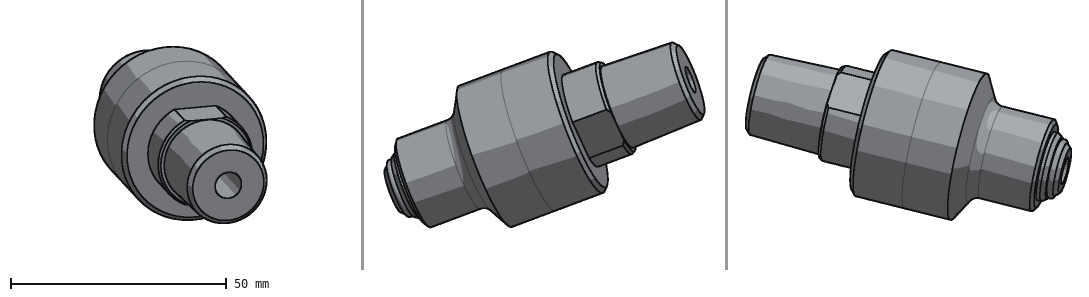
import cadquery as cq
import math

total_length = 74.7
bore_diameter = 6.35

nose_tip_radius = 5.4
ring_base_diameter = 12.7
ring_section_radius = 0.75
ring_start = 1.05
shoulder_radius = 7.4
land_start = 3.65
land_radius = 16.4 / 2

neck_start = 4.55
neck_radius = 22.0 / 2
neck_chamfer_length = 0.75
neck_chamfer_height = 1.05

body_radius = 35.0 / 2
body_joint = 34.3
body_end = 47.1
body_chamfer = 1.05
front_cone_end = 23.2
front_cone_angle = math.radians(60)
neck_fillet_radius = 3.0

boss_radius = 11.4
boss_end = 56.4
boss_chamfer_length = 0.75
boss_chamfer_height = 0.45
across_flats = 20.5

spigot_start_radius = 10.15
spigot_chamfer = 1.05
spigot_taper = 1 / 16


def make_front():
    """Nose, rounded ring, neck and front half of the body."""
    ring_base_radius = ring_base_diameter / 2
    ring_end = ring_start + 2 * ring_section_radius
    ring_crest = (ring_start + ring_section_radius, ring_base_radius + ring_section_radius)

    fillet_length = neck_fillet_radius * math.sin(front_cone_angle)
    fillet_height = neck_fillet_radius * (1 - math.cos(front_cone_angle))
    cone_start_radius = neck_radius + fillet_height
    cone_length = (body_radius - cone_start_radius) / math.tan(front_cone_angle)
    cone_start = front_cone_end - cone_length
    fillet_start = cone_start - fillet_length
    half_angle = front_cone_angle / 2
    fillet_middle = (
        fillet_start + neck_fillet_radius * math.sin(half_angle),
        neck_radius + neck_fillet_radius * (1 - math.cos(half_angle)),
    )

    profile = (
        cq.Workplane("XY")
        .moveTo(0, 0)
        .lineTo(0, nose_tip_radius)
        .lineTo(ring_start, ring_base_radius)
        .threePointArc(ring_crest, (ring_end, ring_base_radius))
        .lineTo(ring_end, shoulder_radius)
        .lineTo(land_start, land_radius)
        .lineTo(neck_start, land_radius)
        .lineTo(neck_start, neck_radius - neck_chamfer_height)
        .lineTo(neck_start + neck_chamfer_length, neck_radius)
        .lineTo(fillet_start, neck_radius)
        .threePointArc(fillet_middle, (cone_start, cone_start_radius))
        .lineTo(front_cone_end, body_radius)
        .lineTo(body_joint, body_radius)
        .lineTo(body_joint, 0)
        .close()
    )
    return profile.revolve(360, (0, 0, 0), (1, 0, 0))


def make_rear_body():
    """Rear half of the body, chamfered at its far end."""
    return (
        cq.Workplane("YZ", origin=(body_joint, 0, 0))
        .circle(body_radius)
        .extrude(body_end - body_joint)
        .faces(">X")
        .chamfer(body_chamfer)
    )


def make_boss():
    """Chamfered round boss with two wrench flats facing +Z and -Z."""
    profile = (
        cq.Workplane("XY")
        .moveTo(body_joint, 0)
        .lineTo(body_joint, boss_radius)
        .lineTo(boss_end - boss_chamfer_length, boss_radius)
        .lineTo(boss_end, boss_radius - boss_chamfer_height)
        .lineTo(boss_end, 0)
        .close()
    )
    flats = cq.Workplane("XY").box(2 * total_length, 2 * boss_radius, across_flats)
    return profile.revolve(360, (0, 0, 0), (1, 0, 0)).intersect(flats)


def make_spigot():
    """Tapered spigot with a chamfered end."""
    taper_end = total_length - spigot_chamfer
    taper_end_radius = spigot_start_radius - (taper_end - boss_end) * spigot_taper / 2
    profile = (
        cq.Workplane("XY")
        .moveTo(boss_end, 0)
        .lineTo(boss_end, spigot_start_radius)
        .lineTo(taper_end, taper_end_radius)
        .lineTo(total_length, taper_end_radius - spigot_chamfer)
        .lineTo(total_length, 0)
        .close()
    )
    return profile.revolve(360, (0, 0, 0), (1, 0, 0))


bore = cq.Workplane("YZ").circle(bore_diameter / 2).extrude(total_length)

result = (
    make_front()
    .union(make_rear_body(), clean=False)
    .union(make_boss(), clean=False)
    .union(make_spigot(), clean=False)
    .cut(bore, clean=False)
)